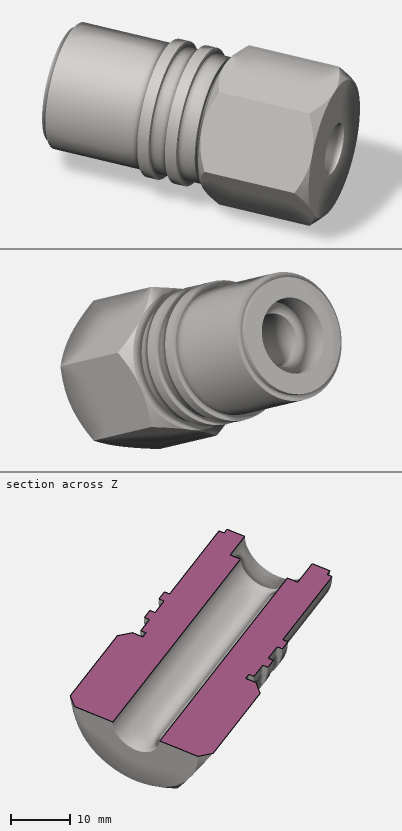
import cadquery as cq

total_length = 49.0
hex_length = 20.0
neck_length = 1.0
nose_length = 1.0
ring_width = 2.0
ring_starts = (18.0, 23.0)

body_diameter = 22.0
relief_diameter = 20.0
across_flats = 24.0
ring_diameter = across_flats
bore_diameter = 13.0
bore_depth = 5.0
passage_diameter = 9.0

hex_start = total_length - hex_length
body_end = hex_start - neck_length
body_length = body_end - nose_length
corner_radius = across_flats / 3**0.5
chamfer_size = corner_radius - across_flats / 2


def cylinder(start, length, diameter):
    """Round bar along X, beginning at X = start."""
    return cq.Workplane("YZ", origin=(start, 0, 0)).circle(diameter / 2).extrude(length)


def chamfered_hex():
    """Hexagon with flats facing +Z and -Z, its corners turned off at both ends."""
    prism = (
        cq.Workplane("YZ", origin=(hex_start, 0, 0))
        .polygon(6, 2 * corner_radius)
        .extrude(hex_length)
    )
    turned_blank = cylinder(hex_start, hex_length, 2 * corner_radius).edges().chamfer(chamfer_size)
    return prism.intersect(turned_blank)


def stepped_body():
    """Plug body with its reduced nose and neck and the two raised rings."""
    body = cylinder(0, hex_start, relief_diameter)
    body = body.union(cylinder(nose_length, body_length, body_diameter))
    for ring_start in ring_starts:
        body = body.union(cylinder(ring_start, ring_width, ring_diameter))
    return body


result = (
    stepped_body()
    .union(chamfered_hex())
    .cut(cylinder(0, bore_depth, bore_diameter))
    .cut(cylinder(0, total_length, passage_diameter))
)